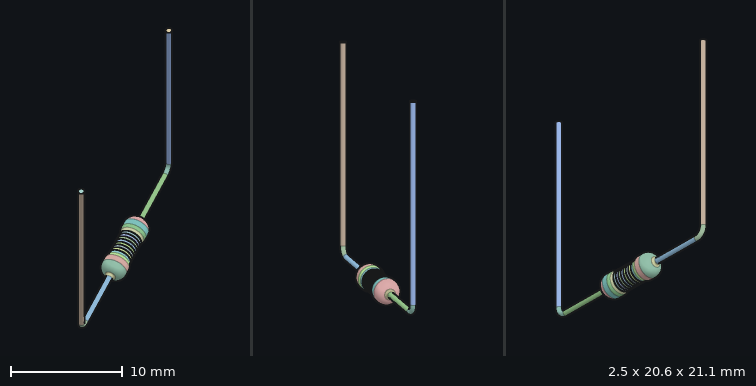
import cadquery as cq
import math


lead_diameter = 0.6
lead_pitch = 20.0
lead_top = 19.85
bend_radius = 0.9

sleeve_diameter = 2.12
sleeve_length = 2.4

cap_diameter = 2.5
cap_straight_length = 0.6
shoulder_length = 0.725
dome_radius = 0.875
neck_fillet = 0.25

band_diameter = 2.15
band_count = 4

lead_radius = lead_diameter / 2
sleeve_radius = sleeve_diameter / 2
cap_radius = cap_diameter / 2

sleeve_end_y = sleeve_length / 2
cap_start_y = sleeve_end_y + shoulder_length
cap_end_y = cap_start_y + cap_straight_length

band_width = sleeve_length / (2 * band_count - 1)
band_pitch = 2 * band_width


def disc(diameter, length, centre_y):
    """Cylinder along Y, centred at the given Y."""
    base = cq.Workplane("XZ", origin=(0, centre_y + length / 2, 0))
    return base.circle(diameter / 2).extrude(length)


def arc_middle(centre, radius, start, end):
    """Point halfway along the shorter arc between two points of a circle."""
    along = start[0] + end[0] - 2 * centre[0]
    across = start[1] + end[1] - 2 * centre[1]
    stretch = radius / math.hypot(along, across)
    return (centre[0] + along * stretch, centre[1] + across * stretch)


def end_cap():
    """End cap on +Y: S-shaped shoulder, straight rim, dome and filleted neck."""
    sleeve_end = (sleeve_end_y, sleeve_radius)
    cap_start = (cap_start_y, cap_radius)
    cap_end = (cap_end_y, cap_radius)

    shoulder_middle = ((sleeve_end_y + cap_start_y) / 2, (sleeve_radius + cap_radius) / 2)
    shoulder_rise = cap_radius - sleeve_radius
    shoulder_radius = (shoulder_length**2 + shoulder_rise**2) / (4 * shoulder_rise)
    hollow_centre = (sleeve_end_y, sleeve_radius + shoulder_radius)
    hollow_middle = arc_middle(hollow_centre, shoulder_radius, sleeve_end, shoulder_middle)
    crown_centre = (cap_start_y, cap_radius - shoulder_radius)
    crown_middle = arc_middle(crown_centre, shoulder_radius, shoulder_middle, cap_start)

    dome_centre = (cap_end_y, cap_radius - dome_radius)
    centre_distance = dome_radius + neck_fillet
    radial_offset = lead_radius + neck_fillet - dome_centre[1]
    axial_offset = math.sqrt(centre_distance**2 - radial_offset**2)
    fillet_centre = (cap_end_y + axial_offset, lead_radius + neck_fillet)
    dome_share = dome_radius / centre_distance
    dome_end = (
        dome_centre[0] + axial_offset * dome_share,
        dome_centre[1] + radial_offset * dome_share,
    )
    neck_end = (fillet_centre[0], lead_radius)
    dome_middle = arc_middle(dome_centre, dome_radius, cap_end, dome_end)
    neck_middle = arc_middle(fillet_centre, neck_fillet, dome_end, neck_end)

    profile = (
        cq.Workplane("YZ")
        .moveTo(sleeve_end_y, 0)
        .lineTo(*sleeve_end)
        .threePointArc(hollow_middle, shoulder_middle)
        .threePointArc(crown_middle, cap_start)
        .lineTo(*cap_end)
        .threePointArc(dome_middle, dome_end)
        .threePointArc(neck_middle, neck_end)
        .lineTo(neck_end[0], 0)
        .close()
    )
    return profile.revolve(360, (0, 0, 0), (1, 0, 0))


def body():
    """Sleeve with its colour bands and an end cap at each end."""
    cap = end_cap()
    turned = disc(sleeve_diameter, sleeve_length, 0)
    turned = turned.union(cap).union(cap.mirror("XZ"))
    for index in range(band_count):
        band_y = (index - (band_count - 1) / 2) * band_pitch
        turned = turned.union(disc(band_diameter, band_width, band_y))
    return turned


def lead():
    """Lead on +Y, from the body middle through the bend to its upper end."""
    lead_y = lead_pitch / 2
    path = (
        cq.Workplane("YZ")
        .lineTo(lead_y - bend_radius, 0)
        .tangentArcPoint((lead_y, bend_radius), relative=False)
        .lineTo(lead_y, lead_top)
    )
    return cq.Workplane("XZ").circle(lead_radius).sweep(path)


result = body().union(lead()).union(lead().mirror("XZ"))